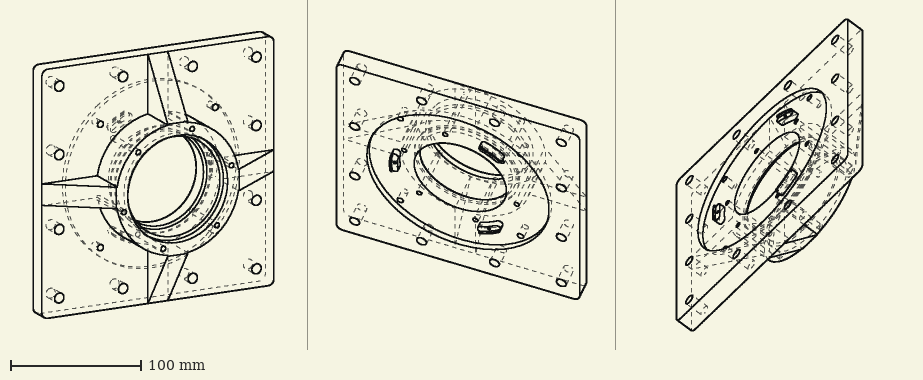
import cadquery as cq
import math

plate_side = 200.0
plate_thickness = 15.0
corner_radius = 5.0
hub_height = 33.5
hub_diameter = 106.0
total_depth = plate_thickness + hub_height
rib_thickness = 17.2

recess_diameter = 150.0
recess_depth = 5.0

bore_diameter = 76.0
bore_length = 12.5
middle_bore_diameter = 80.0
groove_width = 1.8
middle_bore_length = 23.8
end_bore_diameter = 86.0
groove_diameter = end_bore_diameter
middle_bore_start = recess_depth + bore_length
end_bore_start = middle_bore_start + middle_bore_length

edge_hole_diameter = 8.0
edge_hole_outer = 85.0
edge_hole_inner = 30.0
corner_hole_diameter = 5.0
corner_hole_radius = 70.0
ring_hole_diameter = 4.0
ring_hole_radius = 48.0
ring_hole_count = 6
ring_hole_start_angle = 15.0

pad_count = 3
pad_length = 21.0
pad_width = 6.0
pad_radius = 52.8
pad_start_angle = 0.7
lip_height = 1.8
lip_inner_radius = 54.8
pad_hole_diameter = 2.0
pad_hole_radius = 52.0
pad_hole_depth = 2.0


def polar(radius, degrees):
    """Point in the YZ plane, with the angle measured from +Y towards +Z."""
    angle = math.radians(degrees)
    return (radius * math.cos(angle), radius * math.sin(angle))


def cylinder(diameter, start, end):
    """Cylinder on the part axis between two X positions."""
    return cq.Workplane("YZ", origin=(start, 0, 0)).circle(diameter / 2).extrude(end - start)


def through_holes(points, diameter):
    """Cutters that pass through the plate and everything behind it."""
    return cq.Workplane("YZ").pushPoints(points).circle(diameter / 2).extrude(total_depth)


def plate():
    blank = cq.Workplane("YZ").rect(plate_side, plate_side).extrude(plate_thickness)
    return blank.edges("|X").fillet(corner_radius)


def cross_rib():
    """Two opposite ribs along Y, sloping from the plate edges up to the hub rim."""
    profile = [
        (plate_thickness, -plate_side / 2),
        (plate_thickness, plate_side / 2),
        (total_depth, hub_diameter / 2),
        (total_depth, -hub_diameter / 2),
    ]
    return cq.Workplane("XY").polyline(profile).close().extrude(rib_thickness / 2, both=True)


def pad():
    """Pad on the +Y side: a curved block flush with the plate face, plus its lip."""
    end_radius = pad_width / 2
    inner = pad_radius - end_radius
    outer = pad_radius + end_radius
    half_angle = math.degrees((pad_length / 2 - end_radius) / pad_radius)
    center_y, center_z = polar(pad_radius, half_angle)
    direction_y, direction_z = polar(end_radius, half_angle + 90)
    tip = (center_y + direction_y, center_z + direction_z)
    block = (
        cq.Workplane("YZ", origin=(-lip_height, 0, 0))
        .moveTo(*polar(outer, -half_angle))
        .threePointArc((outer, 0), polar(outer, half_angle))
        .threePointArc(tip, polar(inner, half_angle))
        .threePointArc((inner, 0), polar(inner, -half_angle))
        .threePointArc((tip[0], -tip[1]), polar(outer, -half_angle))
        .close()
        .extrude(lip_height + recess_depth)
    )
    block = block.cut(cylinder(2 * lip_inner_radius, -lip_height, 0))
    hole = (
        cq.Workplane("YZ")
        .center(pad_hole_radius, 0)
        .circle(pad_hole_diameter / 2)
        .extrude(pad_hole_depth)
    )
    return block.cut(hole)


body = plate().union(cylinder(hub_diameter, plate_thickness, total_depth))
for rib_angle in (0, 90):
    body = body.union(cross_rib().rotate((0, 0, 0), (1, 0, 0), rib_angle))

body = body.cut(cylinder(recess_diameter, 0, recess_depth))
body = body.cut(cylinder(bore_diameter, 0, total_depth))
body = body.cut(cylinder(middle_bore_diameter, middle_bore_start, total_depth))
groove_end = middle_bore_start + groove_width
body = body.cut(cylinder(groove_diameter, middle_bore_start, groove_end))
body = body.cut(cylinder(end_bore_diameter, end_bore_start, total_depth))

grid = (-edge_hole_outer, -edge_hole_inner, edge_hole_inner, edge_hole_outer)
edge_points = [(y, z) for y in grid for z in grid if edge_hole_outer in (abs(y), abs(z))]
body = body.cut(through_holes(edge_points, edge_hole_diameter))

corner_points = [polar(corner_hole_radius, 45 + 90 * i) for i in range(4)]
body = body.cut(through_holes(corner_points, corner_hole_diameter))
ring_step = 360 / ring_hole_count
ring_points = [
    polar(ring_hole_radius, ring_hole_start_angle + ring_step * i) for i in range(ring_hole_count)
]
body = body.cut(through_holes(ring_points, ring_hole_diameter))

for i in range(pad_count):
    pad_angle = pad_start_angle + i * 360 / pad_count
    body = body.union(pad().rotate((0, 0, 0), (1, 0, 0), pad_angle))

result = body